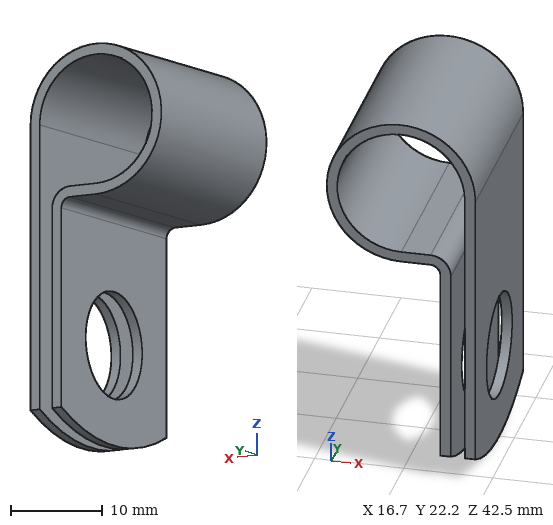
import cadquery as cq
import math

height = 42.45
strap_width = 22.2
loop_diameter = 16.7
thickness = 1.2

leg_gap = 1.57
bend_inner_radius = 1.1
end_sagitta = 2.6
hole_diameter = 11.9
hole_height = 11.13

outer_radius = loop_diameter / 2
inner_radius = outer_radius - thickness
loop_z = height - outer_radius
short_leg_outer_x = inner_radius - leg_gap
short_leg_inner_x = short_leg_outer_x - thickness
bend_outer_radius = bend_inner_radius + thickness
bend_x = short_leg_inner_x - bend_inner_radius
shelf_top_z = loop_z - inner_radius
shelf_bottom_z = loop_z - outer_radius
bend_z = shelf_top_z - bend_outer_radius


def arc_middle(radius):
    """Point halfway round the bend between the shelf and the short leg."""
    offset = radius * math.sqrt(0.5)
    return (bend_x + offset, bend_z + offset)


def loop_middle(radius):
    """Point halfway round the three-quarter loop."""
    offset = radius * math.sqrt(0.5)
    return (-offset, loop_z + offset)


def bent_strap():
    """Strap of constant thickness: long leg, loop, shelf, bend and short leg."""
    return (
        cq.Workplane("XZ")
        .moveTo(outer_radius, 0)
        .lineTo(outer_radius, loop_z)
        .threePointArc(loop_middle(outer_radius), (0, shelf_bottom_z))
        .lineTo(bend_x, shelf_bottom_z)
        .threePointArc(arc_middle(bend_inner_radius), (short_leg_inner_x, bend_z))
        .lineTo(short_leg_inner_x, 0)
        .lineTo(short_leg_outer_x, 0)
        .lineTo(short_leg_outer_x, bend_z)
        .threePointArc(arc_middle(bend_outer_radius), (bend_x, shelf_top_z))
        .lineTo(0, shelf_top_z)
        .threePointArc(loop_middle(inner_radius), (inner_radius, loop_z))
        .lineTo(inner_radius, 0)
        .close()
        .extrude(strap_width / 2, both=True)
    )


def rounded_end_envelope():
    """Block as wide as the strap whose bottom edge is the arc of the leg ends."""
    half_width = strap_width / 2
    return (
        cq.Workplane("YZ")
        .moveTo(-half_width, end_sagitta)
        .threePointArc((0, 0), (half_width, end_sagitta))
        .lineTo(half_width, height)
        .lineTo(-half_width, height)
        .close()
        .extrude(outer_radius, both=True)
    )


def bolt_hole():
    """Cylinder along X that passes through both legs."""
    return (
        cq.Workplane("YZ")
        .center(0, hole_height)
        .circle(hole_diameter / 2)
        .extrude(outer_radius, both=True)
    )


result = bent_strap().intersect(rounded_end_envelope()).cut(bolt_hole())